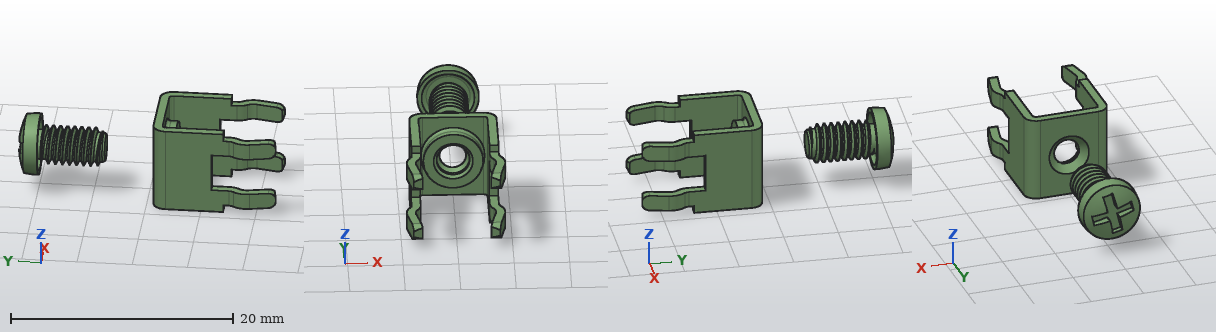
import cadquery as cq
import math

overall_length = 23.63

sheet = 0.83
bracket_size = 7.87
half_size = bracket_size / 2
bend_radius = 1.18
shoulder_y = -6.43
slot_y = -5.36

finger_pitch = 5.0
finger_width = 1.5
swing_start_y = -6.92
swing_radius = 0.7
swing_angle = 36.8
knee_radius = 1.85
lean_angle = 12.0
tip_corner_y = -11.2
tip_round_y = -11.25

collar_height = 1.02
collar_face_y = -sheet - collar_height
collar_radius = 2.7
collar_flare = 0.2
collar_flare_length = 0.35
mouth_radius = 1.77
mouth_depth = 0.25
bore_radius = 1.5
bore_end_depth = 0.57
throat_radius = 1.18
throat_depth = 1.13
back_radius = 1.9

screw_turn = 14.0
rim_y = 10.59
rim_radius = 2.8
dome_edge_y = 11.86
dome_edge_radius = 2.7
head_side_bulge = 0.05
cup_radius = 2.39
cup_depth = 0.4
recess_width = 0.95
recess_reach = 1.94
recess_depth = 0.83

core_radius = 1.35
tip_y = 4.6
tip_radius = 1.2
tip_chamfer = 0.21
thread_radius = 1.75
thread_pitch = 0.64
thread_turns = 9
fade_turns = 0.75
end_scale = 0.1
ridge_base_width = 0.57
ridge_crest_width = 0.05
ridge_embed = 0.07
points_per_turn = 24


def polar(centre, radius, degrees):
    """Point at a distance and direction from a centre."""
    angle = math.radians(degrees)
    return (centre[0] + radius * math.cos(angle), centre[1] + radius * math.sin(angle))


def revolve_about_y(outline):
    return outline.close().revolve(360, (0, 0, 0), (0, 1, 0))


def finger_face(inset):
    """Points along one face of the +X finger, `inset` inward from its outer face."""
    swing_centre = (half_size + swing_radius, swing_start_y)
    swing_end = 180 + swing_angle
    knee_centre = polar(swing_centre, swing_radius + knee_radius, swing_end)
    swing = [polar(swing_centre, swing_radius + inset, a) for a in (180, 180 + swing_angle / 2, swing_end)]
    knee_angles = ((swing_angle - lean_angle) / 2, -lean_angle)
    knee = [polar(knee_centre, knee_radius - inset, a) for a in knee_angles]
    outer_knee_end = polar(knee_centre, knee_radius, -lean_angle)
    straight = (outer_knee_end[1] - tip_corner_y) / math.cos(math.radians(lean_angle))
    return swing + knee + [polar(knee[-1], straight, -90 - lean_angle)]


def half_sheet():
    """Right half of the bent sheet, still at full height everywhere."""
    outer = finger_face(0)
    inner = finger_face(sheet)
    bend_centre = (half_size - bend_radius, -bend_radius)
    inner_radius = bend_radius - sheet
    return (
        cq.Workplane("XY")
        .lineTo(bend_centre[0], 0)
        .threePointArc(polar(bend_centre, bend_radius, 45), polar(bend_centre, bend_radius, 0))
        .lineTo(*outer[0])
        .threePointArc(outer[1], outer[2])
        .threePointArc(outer[3], outer[4])
        .lineTo(*outer[5])
        .lineTo(*inner[5])
        .lineTo(*inner[4])
        .threePointArc(inner[3], inner[2])
        .threePointArc(inner[1], inner[0])
        .lineTo(*polar(bend_centre, inner_radius, 0))
        .threePointArc(polar(bend_centre, inner_radius, 45), polar(bend_centre, inner_radius, 90))
        .lineTo(0, -sheet)
        .close()
        .extrude(half_size, both=True)
    )


def leg_outline():
    """Side outline of both legs, with shoulders, slot and round-ended fingers, across the whole width."""
    finger_low = (finger_pitch - finger_width) / 2
    finger_high = (finger_pitch + finger_width) / 2
    round_start_y = tip_round_y + finger_width / 2
    upper_half = (
        cq.Workplane("YZ")
        .lineTo(slot_y, 0)
        .lineTo(slot_y, finger_low)
        .lineTo(round_start_y, finger_low)
        .threePointArc((tip_round_y, finger_pitch / 2), (round_start_y, finger_high))
        .lineTo(shoulder_y, finger_high)
        .lineTo(shoulder_y, half_size)
        .lineTo(0, half_size)
        .close()
        .extrude(bracket_size, both=True)
    )
    return upper_half.union(upper_half.mirror("XY"))


def collar():
    """Raised ring on the inner side of the web, flaring out in a hollow arc where it meets the web."""
    flare_y = -sheet - collar_flare_length
    flare_radius = (collar_flare_length**2 + collar_flare**2) / (2 * collar_flare)
    flare_middle_angle = 180 - math.degrees(math.atan(collar_flare / collar_flare_length))
    flare_middle = polar((collar_radius + flare_radius, flare_y), flare_radius, flare_middle_angle)
    foot_radius = collar_radius + collar_flare
    return revolve_about_y(
        cq.Workplane("XY")
        .moveTo(0, -sheet / 2)
        .lineTo(foot_radius, -sheet / 2)
        .lineTo(foot_radius, -sheet)
        .threePointArc(flare_middle, (collar_radius, flare_y))
        .lineTo(collar_radius, collar_face_y)
        .lineTo(0, collar_face_y)
    )


def screw_hole():
    """Hole that narrows from a chamfered mouth to a throat and opens again toward the screw."""
    return revolve_about_y(
        cq.Workplane("XY")
        .moveTo(0, collar_face_y)
        .lineTo(mouth_radius, collar_face_y)
        .lineTo(bore_radius, collar_face_y + mouth_depth)
        .lineTo(bore_radius, collar_face_y + bore_end_depth)
        .lineTo(throat_radius, collar_face_y + throat_depth)
        .lineTo(back_radius, 0)
        .lineTo(0, 0)
    )


def make_bracket():
    half = half_sheet()
    bent_sheet = half.union(half.mirror("YZ")).intersect(leg_outline())
    return bent_sheet.union(collar()).cut(screw_hole())


def screw_blank():
    """Domed head with a hollow underside, and the plain shank."""
    peak_y = overall_length + tip_corner_y
    peak_radius = recess_width / math.sqrt(2)
    rise = peak_y - dome_edge_y
    dome_centre_y = (peak_y + dome_edge_y) / 2 - (dome_edge_radius**2 - peak_radius**2) / (2 * rise)
    apex_y = dome_centre_y + math.hypot(peak_radius, peak_y - dome_centre_y)
    side_middle = ((rim_radius + dome_edge_radius) / 2 + head_side_bulge, (rim_y + dome_edge_y) / 2)
    cup_arc_centre = (cup_radius - cup_depth, rim_y)
    return revolve_about_y(
        cq.Workplane("XY")
        .moveTo(0, apex_y)
        .threePointArc((peak_radius, peak_y), (dome_edge_radius, dome_edge_y))
        .threePointArc(side_middle, (rim_radius, rim_y))
        .lineTo(cup_radius, rim_y)
        .threePointArc(polar(cup_arc_centre, cup_depth, 45), polar(cup_arc_centre, cup_depth, 90))
        .lineTo(core_radius, rim_y + cup_depth)
        .lineTo(core_radius, tip_y + tip_chamfer)
        .lineTo(tip_radius, tip_y)
        .lineTo(0, tip_y)
    )


def cross_recess():
    floor_y = overall_length + tip_corner_y - recess_depth
    height = 2 * recess_depth
    middle = (0, floor_y + height / 2, 0)
    along_x = cq.Workplane("XY").box(2 * recess_reach, height, recess_width).translate(middle)
    along_z = cq.Workplane("XY").box(recess_width, height, 2 * recess_reach).translate(middle)
    return along_x.union(along_z)


def ridge_scale(turns):
    """Size of the thread ridge as part of its full size, fading out toward both ends."""
    rise = min(turns, thread_turns - turns) / fade_turns
    return min(1, end_scale + (1 - end_scale) * rise)


def ridge_edge(height, offset):
    """Left-handed helical edge of the ridge, `height` above its foot and `offset` from its middle."""
    points = []
    for step in range(thread_turns * points_per_turn + 1):
        turns = step / points_per_turn
        scale = ridge_scale(turns)
        radius = core_radius - ridge_embed + height * scale
        y = rim_y - thread_pitch * turns + offset * scale
        x, z = polar((0, 0), radius, -360 * turns)
        points.append(cq.Vector(x, y, z))
    return cq.Edge.makeSpline(points)


def thread():
    """Helical ridge built from four ruled faces and two end caps."""
    crest_height = thread_radius - core_radius + ridge_embed
    edges = [
        ridge_edge(0, ridge_base_width / 2),
        ridge_edge(crest_height, ridge_crest_width / 2),
        ridge_edge(crest_height, -ridge_crest_width / 2),
        ridge_edge(0, -ridge_base_width / 2),
    ]
    faces = [cq.Face.makeRuledSurface(edges[i - 1], edges[i]) for i in range(len(edges))]
    for end in (0, 1):
        corners = [edge.positionAt(end) for edge in edges]
        faces.append(cq.Face.makeFromWires(cq.Wire.makePolygon(corners, close=True)))
    return cq.Workplane(obj=cq.Solid.makeSolid(cq.Shell.makeShell(faces)))


def make_screw():
    turned_blank = screw_blank().cut(cross_recess()).rotate((0, 0, 0), (0, 1, 0), screw_turn)
    return turned_blank.union(thread())


bracket = make_bracket()
screw = make_screw()
result = cq.Compound.makeCompound([bracket.solids().val(), screw.solids().val()])